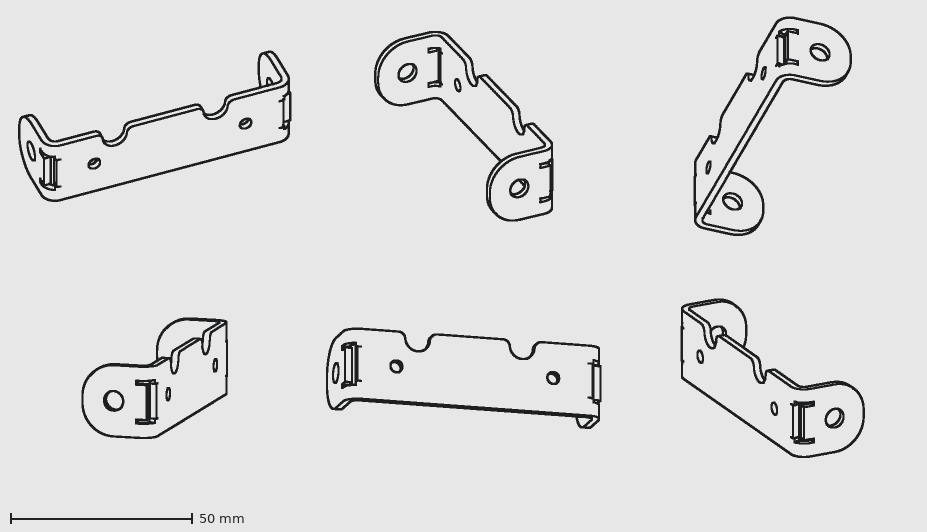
import cadquery as cq
import math

length = 73.3
depth = 20.5
height = 20.0
sheet = 2.0

bend_angle = 90.0
inner_radius = 2.0
outer_radius = inner_radius + sheet
half_length = length / 2
half_height = height / 2
bend_x = -outer_radius
bend_y = half_length - outer_radius

flange_corner_radius = 9.0
flange_hole_diameter = 5.5
flange_hole_x = flange_corner_radius - depth

bend_strip_height = 4.0
relief_height = 1.1
relief_reach = 1.05
relief_end_angle = 22.0
relief_span = height - 2 * bend_strip_height
tongue_height = relief_span - 2 * relief_height
corner_gap = 0.9

plate_hole_diameter = 3.4
plate_hole_spacing = 45.0
notch_radius = 3.55
notch_lip_radius = 2.0
notch_depth = 5.25
notch_spacing = 30.0
notch_offset_y = -1.4


def block(x_range, y_range, z_height):
    """Box over the given x and y ranges, centred on z = 0."""
    x_size = x_range[1] - x_range[0]
    y_size = y_range[1] - y_range[0]
    return (
        cq.Workplane("XY")
        .box(x_size, y_size, z_height, centered=(False, False, True))
        .translate((x_range[0], y_range[0], 0))
    )


def bend_sector(start_angle, end_angle, z_height):
    """Piece of the +Y bend between two angles measured from the +X direction."""

    def point(radius, angle):
        turn = math.radians(angle)
        return (bend_x + radius * math.cos(turn), bend_y + radius * math.sin(turn))

    middle_angle = (start_angle + end_angle) / 2
    return (
        cq.Workplane("XY")
        .workplane(offset=-z_height / 2)
        .moveTo(*point(inner_radius, start_angle))
        .lineTo(*point(outer_radius, start_angle))
        .threePointArc(point(outer_radius, middle_angle), point(outer_radius, end_angle))
        .lineTo(*point(inner_radius, end_angle))
        .threePointArc(point(inner_radius, middle_angle), point(inner_radius, start_angle))
        .close()
        .extrude(z_height)
    )


def make_flange():
    """Flat +Y flange with rounded free corners, pivot hole and middle tongue."""
    y_range = (half_length - sheet, half_length)
    flange = block((-depth, bend_x), y_range, height)
    flange = flange.edges("|Y and <X").fillet(flange_corner_radius)
    hole = (
        cq.Workplane("XZ", origin=(flange_hole_x, half_length, 0))
        .circle(flange_hole_diameter / 2)
        .extrude(sheet)
    )
    slots = block((bend_x - relief_reach, bend_x), y_range, relief_span)
    tongue = block((bend_x - relief_reach, -sheet), y_range, tongue_height)
    return flange.cut(hole).cut(slots).union(tongue)


def make_bend():
    """Curved strips of the +Y bend, above and below the unbent middle."""
    bend = bend_sector(0, bend_angle, height)
    bend = bend.cut(bend_sector(relief_end_angle, bend_angle, relief_span))
    return bend.cut(bend_sector(0, bend_angle, tongue_height))


def make_end():
    """Everything beyond the flat back plate at the +Y end."""
    plate_tongue_end = half_length - sheet - corner_gap
    plate_tongue = block((-sheet, 0), (bend_y, plate_tongue_end), tongue_height)
    return make_flange().union(make_bend()).union(plate_tongue)


def notch_cutter(center_y):
    """Round notch in the top edge, flaring into rounded lips."""
    center_z = half_height - notch_depth + notch_radius
    lip_z = half_height - notch_lip_radius
    center_distance = notch_radius + notch_lip_radius
    lip_angle = math.asin((lip_z - center_z) / center_distance)
    lip_y = center_distance * math.cos(lip_angle)
    touch_y = notch_radius * math.cos(lip_angle)
    touch_z = center_z + notch_radius * math.sin(lip_angle)
    lip_middle_angle = (math.radians(90) + math.radians(180) + lip_angle) / 2
    lip_middle_y = lip_y + notch_lip_radius * math.cos(lip_middle_angle)
    lip_middle_z = lip_z + notch_lip_radius * math.sin(lip_middle_angle)
    return (
        cq.Workplane("YZ", origin=(-sheet, center_y, 0))
        .moveTo(-lip_y, half_height)
        .threePointArc((-lip_middle_y, lip_middle_z), (-touch_y, touch_z))
        .threePointArc((0, half_height - notch_depth), (touch_y, touch_z))
        .threePointArc((lip_middle_y, lip_middle_z), (lip_y, half_height))
        .close()
        .extrude(sheet)
    )


def make_back_plate():
    """Flat back plate with two mounting holes and two notches in its top edge."""
    plate = block((-sheet, 0), (-bend_y, bend_y), height)
    for side in (-1, 1):
        hole = (
            cq.Workplane("YZ", origin=(-sheet, side * plate_hole_spacing / 2, 0))
            .circle(plate_hole_diameter / 2)
            .extrude(sheet)
        )
        notch = notch_cutter(notch_offset_y + side * notch_spacing / 2)
        plate = plate.cut(hole).cut(notch)
    return plate


end = make_end()
result = make_back_plate().union(end).union(end.mirror("XZ"))